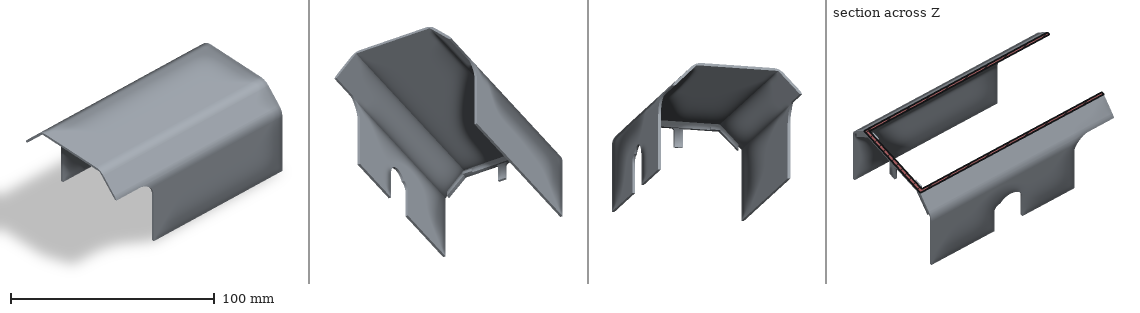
import cadquery as cq
import math

width = 67.3
length = 110.0
height = 49.0
sheet = 1.3
half_width = width / 2

shoulder = 12.3
bend_radius = 7.5
miter = sheet * math.tan(math.radians(22.5))
inner_half_top = half_width - shoulder - miter

relief_length = 24.3
relief_top = -12.3
relief_radius = 8.8

opening_back = 37.8
opening_width = 16.6
arch_radius = 7.0
small_arch_radius = 3.8
arch_center_z = -33.9

flange_bottom = -4.5
flange_tip = -13.6
flange_half_width = 30.4
tab_recess = 0.9
tab_width = 4.3
tab_bottom = -14.2
tab_root_radius = 1.5
lug_width = 5.0
lug_top = -3.0
lug_depth = 1.1


def mirrored_polygon(right_points):
    """Close an XZ outline from its +X half, listed from bottom to top."""
    left_points = [(-x, z) for x, z in reversed(right_points)]
    return cq.Workplane("XZ").polyline(right_points + left_points).close()


def box_between(y_min, y_max, z_min, z_max, x_min, x_max):
    """Box given by its limits."""
    return cq.Workplane("XY").box(
        x_max - x_min, y_max - y_min, z_max - z_min, centered=False
    ).translate((x_min, y_min, z_min))


def folded_shell():
    """Channel with rounded outer bends and sharp inner bends."""
    outside = mirrored_polygon([
        (half_width, -height),
        (half_width, -shoulder),
        (half_width - shoulder, 0),
    ]).extrude(-length)
    bends = outside.edges("|Y").edges(cq.selectors.BoxSelector(
        (-width, -length, -height / 2), (width, 2 * length, height)
    ))
    outside = outside.newObject(bends.vals()).fillet(bend_radius)
    inside = mirrored_polygon([
        (half_width - sheet, -height),
        (half_width - sheet, -shoulder - miter),
        (inner_half_top, -sheet),
    ]).extrude(-length)
    return outside.cut(inside)


def front_relief():
    """Space removed below the front overhang, with a rounded inner corner."""
    block = box_between(0, relief_length, -height, relief_top, -half_width, half_width)
    return block.edges(">Y and >Z").fillet(relief_radius)


def cable_opening():
    """Double-arched slot through the -X wall only."""
    front = length - opening_back - opening_width
    back = length - opening_back

    def arched_slot(y_min, radius):
        slot = box_between(
            y_min, y_min + 2 * radius, -height, arch_center_z, -half_width, -half_width + 2 * sheet
        )
        arch = (
            cq.Workplane("YZ", origin=(-half_width, 0, 0))
            .center(y_min + radius, arch_center_z)
            .circle(radius)
            .extrude(2 * sheet)
        )
        return slot.union(arch)

    large = arched_slot(front, arch_radius)
    small = arched_slot(back - 2 * small_arch_radius, small_arch_radius)
    return large.union(small)


def rear_flange():
    """Flange following the inside of the top and shoulders, with tab and lugs."""
    run = flange_half_width - inner_half_top
    lug_front = -tab_recess - lug_depth
    embed = sheet / 2
    profile = [
        (inner_half_top, flange_bottom),
        (flange_half_width, flange_tip),
        (flange_half_width, -sheet - run + embed),
        (inner_half_top, -sheet + embed),
    ]
    flange = mirrored_polygon(profile).extrude(-sheet)
    tab = box_between(0, sheet, tab_bottom, flange_bottom, -tab_width / 2, tab_width / 2)
    flange = flange.union(tab)
    for x in (-tab_width / 2, tab_width / 2):
        root = cq.selectors.NearestToPointSelector((x, sheet / 2, flange_bottom))
        flange = flange.edges("|Y").edges(root).fillet(tab_root_radius)
    front_layer = mirrored_polygon(profile).extrude(tab_recess)
    flange = flange.union(front_layer)
    for x_min in (-inner_half_top, inner_half_top - lug_width):
        lug = box_between(lug_front, -tab_recess, flange_bottom, lug_top, x_min, x_min + lug_width)
        flange = flange.union(lug)
    return flange.translate((0, length - sheet, 0))


cover = folded_shell().cut(front_relief()).cut(cable_opening()).union(rear_flange())

result = cover.translate((0, -length / 2, height / 2))